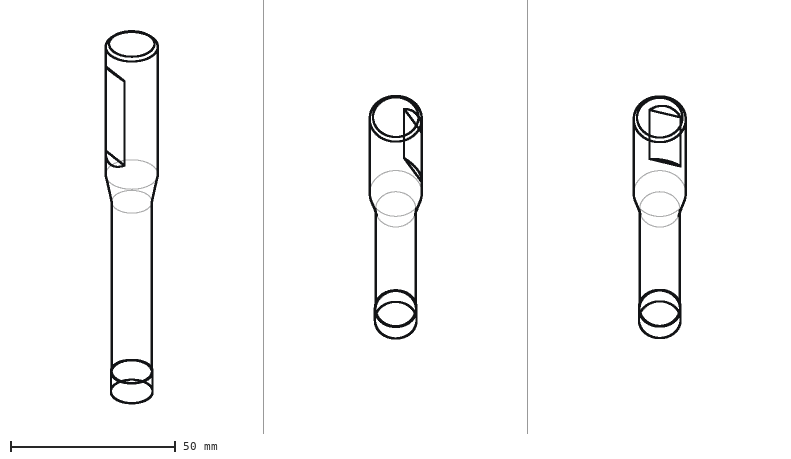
import cadquery as cq
import math

total_length = 130.0

tip_diameter = 12.7
tip_length = 9.6
point_angle = 140.0
point_height = tip_diameter / 2 / math.tan(math.radians(point_angle / 2))

shank_diameter = 15.9
shank_length = 48.0
shank_chamfer = 1.0
taper_length = 10.0
neck_diameter = 12.2
shank_bottom = total_length - shank_length
taper_bottom = shank_bottom - taper_length

flat_depth = 1.7
flat_length = 31.0
flat_center = total_length - shank_length / 2


def make_tip():
    """Revolve the tip about Z, with its point at the origin."""
    radius = tip_diameter / 2
    return (
        cq.Workplane("XZ")
        .moveTo(0, 0)
        .lineTo(radius, point_height)
        .lineTo(radius, tip_length)
        .lineTo(0, tip_length)
        .close()
        .revolve(360, (0, 0, 0), (0, 1, 0))
    )


def make_flat_cutter():
    """Make the trapezoidal prism that cuts the clamping flat."""
    outer_y = -shank_diameter / 2
    floor_y = outer_y + flat_depth
    floor_half = flat_length / 2
    outer_half = floor_half + flat_depth
    return (
        cq.Workplane("YZ")
        .polyline([
            (floor_y, flat_center - floor_half),
            (floor_y, flat_center + floor_half),
            (outer_y, flat_center + outer_half),
            (outer_y, flat_center - outer_half),
        ])
        .close()
        .extrude(shank_diameter / 2, both=True)
    )


def make_holder():
    """Revolve the neck, taper and chamfered shank, then cut the flat."""
    shank_radius = shank_diameter / 2
    neck_radius = neck_diameter / 2
    holder = (
        cq.Workplane("XZ")
        .moveTo(0, tip_length)
        .lineTo(neck_radius, tip_length)
        .lineTo(neck_radius, taper_bottom)
        .lineTo(shank_radius, shank_bottom)
        .lineTo(shank_radius, total_length - shank_chamfer)
        .lineTo(shank_radius - shank_chamfer, total_length)
        .lineTo(0, total_length)
        .close()
        .revolve(360, (0, 0, 0), (0, 1, 0))
    )
    return holder.cut(make_flat_cutter())


tip = make_tip()
holder = make_holder()

result = cq.Compound.makeCompound([holder.val(), tip.val()])